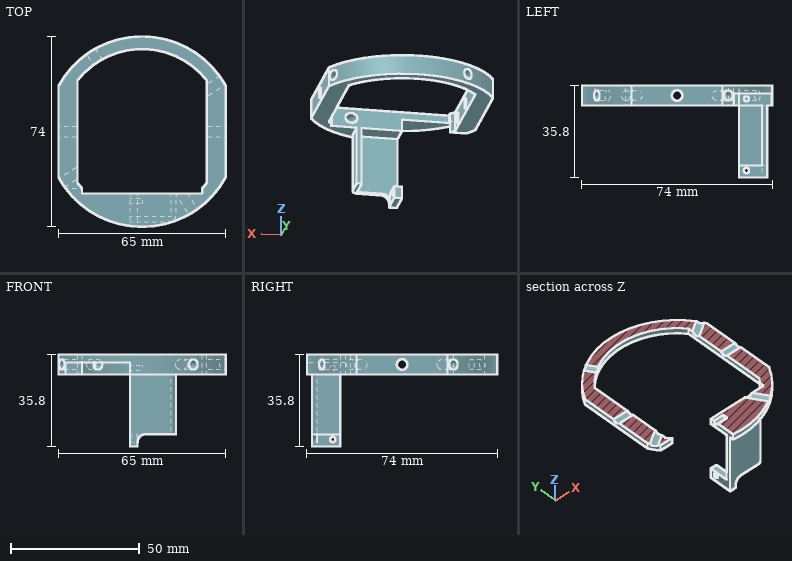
import cadquery as cq
import math

ring_radius = 37.0
ring_width = 65.0
ring_height = 7.8

opening_radius = 32.0
opening_width = 50.0
opening_front_y = -24.0
opening_corner_width = 46.6

bore_diameter = 4.0
radial_bore_start_angle = 32.5
radial_bore_count = 4

relief_back_y = -22.0
relief_height = 4.7
relief_end_x = -4.8

bracket_left_x = relief_end_x
bracket_width = 18.0
bracket_front_y = -35.0
bracket_back_y = opening_front_y
bracket_drop = 28.0
plate_thickness = 2.0
wall_thickness = 2.0
bracket_corner_radius = 3.0
foot_thickness = 3.1
foot_height = 4.8
foot_fillet_radius = 3.0

screw_diameter = 2.0
screw_y = -26.9
ring_screw_z = 2.6
ring_screw_depth = 5.0
foot_screw_height = 2.8


def box_between(x_min, x_max, y_min, y_max, z_min, z_max):
    """Axis-aligned box given by its limits."""
    size = (x_max - x_min, y_max - y_min, z_max - z_min)
    return cq.Workplane("XY").box(*size, centered=False).translate((x_min, y_min, z_min))


def cylinder_along(start, direction, diameter, length):
    """Solid cylinder from a start point along a direction."""
    cylinder = cq.Solid.makeCylinder(diameter / 2, length, cq.Vector(*start), cq.Vector(*direction))
    return cq.Workplane(cylinder)


def make_ring():
    """Disc with two flat sides."""
    disc = cq.Workplane("XY").circle(ring_radius).extrude(ring_height)
    half_width = ring_width / 2
    return disc.intersect(
        box_between(-half_width, half_width, -ring_radius, ring_radius, 0, ring_height)
    )


def make_opening():
    """Flat-sided round opening, squared off to narrower corners at the front."""
    half_width = opening_width / 2
    half_corner = opening_corner_width / 2
    rounded = cq.Workplane("XY").circle(opening_radius).extrude(ring_height)
    rounded = rounded.intersect(
        box_between(-half_width, half_width, opening_front_y, opening_radius, 0, ring_height)
    )
    corners = box_between(-half_corner, half_corner, opening_front_y, 0, 0, ring_height)
    return rounded.union(corners)


def cut_bores(body):
    """Aligned bores through both flat sides and evenly spaced radial bores."""
    mid_height = ring_height / 2
    side_bores = cylinder_along((-ring_radius, 0, mid_height), (1, 0, 0), bore_diameter, 2 * ring_radius)
    body = body.cut(side_bores)
    for index in range(radial_bore_count):
        angle = math.radians(radial_bore_start_angle + index * 360 / radial_bore_count)
        direction = (math.cos(angle), math.sin(angle), 0)
        body = body.cut(cylinder_along((0, 0, mid_height), direction, bore_diameter, ring_radius))
    return body


def cut_relief(body):
    """Step under the front-left part of the ring, leaving a thin ledge above."""
    return body.cut(
        box_between(-ring_radius, relief_end_x, -ring_radius, relief_back_y, 0, relief_height)
    )


def make_bracket():
    """L-shaped plate and wall, open to the left, with a foot at the lower left corner."""
    right_x = bracket_left_x + bracket_width
    foot_right_x = bracket_left_x + foot_thickness
    bottom_z = -bracket_drop
    foot_top_z = bottom_z + foot_height

    outer = box_between(bracket_left_x, right_x, bracket_front_y, bracket_back_y, foot_top_z, 0)
    outer = outer.edges("|Z and >X and <Y").fillet(bracket_corner_radius)
    hollow = box_between(
        bracket_left_x,
        right_x - wall_thickness,
        bracket_front_y + plate_thickness,
        bracket_back_y,
        foot_top_z,
        0,
    )
    channel = outer.cut(hollow)

    foot = box_between(
        bracket_left_x, foot_right_x, bracket_front_y, bracket_back_y, bottom_z, foot_top_z
    )

    gusset = box_between(
        foot_right_x,
        foot_right_x + foot_fillet_radius,
        bracket_front_y,
        bracket_front_y + plate_thickness,
        foot_top_z - foot_fillet_radius,
        foot_top_z,
    )
    gusset_round = cylinder_along(
        (foot_right_x + foot_fillet_radius, bracket_front_y, foot_top_z - foot_fillet_radius),
        (0, 1, 0),
        2 * foot_fillet_radius,
        plate_thickness,
    )
    return channel.union(foot).union(gusset.cut(gusset_round))


def cut_screw_holes(body):
    """Blind hole in the ring's relief face and a through hole in the foot."""
    ring_hole = cylinder_along(
        (relief_end_x, screw_y, ring_screw_z), (1, 0, 0), screw_diameter, ring_screw_depth
    )
    foot_hole = cylinder_along(
        (bracket_left_x, screw_y, foot_screw_height - bracket_drop),
        (1, 0, 0),
        screw_diameter,
        foot_thickness,
    )
    return body.cut(ring_hole).cut(foot_hole)


ring = cut_relief(cut_bores(make_ring().cut(make_opening())))
result = cut_screw_holes(ring.union(make_bracket()))